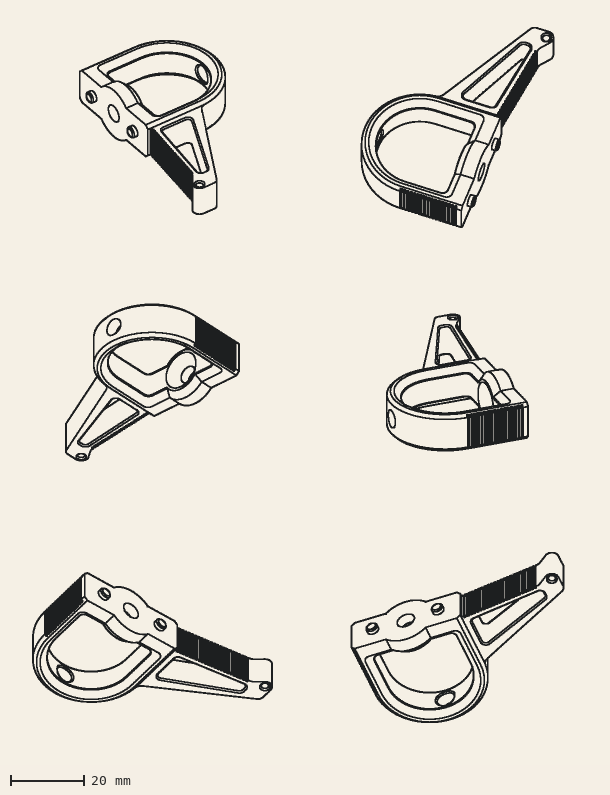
import cadquery as cq
import math

ARCH_RADIUS = 16.0
OPENING_RADIUS = 12.0
BASE_Y = -18.0
BODY_HEIGHT = 11.0
OUTER_CHAMFER = 1.0
FLARE_WIDTH = 2.0
FLARE_DEPTH = 1.8
LIP_WIDTH = 0.1
LIP_DEPTH = 0.3
OPENING_CORNER_RADIUS = 1.6

BOSS_RADIUS = 8.0
BORE_DIAMETER = 5.0
BORE_LENGTH = 3.05
BORE_RIM_CHAMFER = 0.4

PIN_DIAMETER = 3.2
PIN_LENGTH = 1.5
PIN_CHAMFER = 0.4
PIN_OFFSET = 9.6

OVERALL_LENGTH = 62.0
ARM_TIP_X = OVERALL_LENGTH - ARCH_RADIUS
ARM_HEIGHT = BODY_HEIGHT - 2 * OUTER_CHAMFER
ARM_ROOT_X = 14.9
TIP_TOP_Y = -16.2
TIP_RADIUS = 2.0
TIP_CENTER = (ARM_TIP_X - TIP_RADIUS, -20.7)
TIP_TOP_FILLET = 1.75
ROOT_FILLET = 2.5
GRIP_ROOT_Y = -17.1
GRIP_ANGLE = 7.0
GRIP_END_X = 39.9
GRIP_END_FILLET = 2.0
TIP_HOLE_DIAMETER = 2.0
ARM_CHAMFER = 0.45

WINDOW_LEFT_X = 18.05
WINDOW_RIGHT_X = 40.1
WINDOW_TOP_LEFT_Y = -5.0
WINDOW_TOP_ANGLE = 24.6
WINDOW_BOTTOM_LEFT_Y = -15.0
WINDOW_BOTTOM_ANGLE = 7.7
WINDOW_CORNER_RADIUS = 1.1

GROOVE_PITCH = -BASE_Y / 18
GROOVE_WIDTH = GROOVE_PITCH / 2
GROOVE_DEPTH = 0.55
WALL_GROOVE_COUNT = 17
ARM_GROOVE_COUNT = 23
ARM_GROOVE_START = 0.6


def arch_wire(radius, floor_y, z, corner_radius=0):
    """Closed outline: half circle at the +Y end, straight sides, flat floor with optional rounded corners."""
    r = corner_radius
    bend = r * (1 - math.sqrt(0.5))
    path = cq.Workplane("XY", origin=(0, 0, z)).moveTo(radius, 0)
    path = path.threePointArc((0, radius), (-radius, 0))
    if r == 0:
        return path.lineTo(-radius, floor_y).lineTo(radius, floor_y).close()
    path = path.lineTo(-radius, floor_y + r)
    path = path.threePointArc((-radius + bend, floor_y + bend), (-radius + r, floor_y))
    path = path.lineTo(radius - r, floor_y)
    path = path.threePointArc((radius - bend, floor_y + bend), (radius, floor_y + r))
    return path.close()


def make_shell():
    """Arch block with its outer edges chamfered, except along the flat base."""
    shell = arch_wire(ARCH_RADIUS, BASE_Y, -BODY_HEIGHT / 2).extrude(BODY_HEIGHT)
    return shell.faces("|Z").edges("not(<Y)").chamfer(OUTER_CHAMFER)


def opening_slice(low_z, low_growth, high_z, high_growth):
    """Slice of the opening between two heights, widened by the growth at each."""
    wires = [
        arch_wire(OPENING_RADIUS + growth, -OPENING_RADIUS - growth, z, OPENING_CORNER_RADIUS).val()
        for z, growth in ((low_z, low_growth), (high_z, high_growth))
    ]
    return cq.Workplane(cq.Solid.makeLoft(wires, True))


def make_opening():
    """Arch opening with a steep lip and a wide flare towards each face."""
    top = BODY_HEIGHT / 2
    flare_z = top - FLARE_DEPTH
    lip_z = flare_z - LIP_DEPTH
    flare = opening_slice(flare_z, LIP_WIDTH, top, FLARE_WIDTH)
    lip = opening_slice(lip_z, 0, flare_z, LIP_WIDTH)
    upper = flare.union(lip)
    middle = opening_slice(-lip_z, 0, lip_z, 0)
    return middle.union(upper).union(upper.mirror("XY"))


def make_boss():
    """Round boss on the base, tapering towards the opening by the same flare."""
    taper_y = -OPENING_RADIUS - FLARE_WIDTH
    profile = cq.Workplane("XY").polyline([
        (0, BASE_Y),
        (BOSS_RADIUS, BASE_Y),
        (BOSS_RADIUS, taper_y),
        (BOSS_RADIUS - FLARE_DEPTH, -OPENING_RADIUS),
        (0, -OPENING_RADIUS),
    ]).close()
    return profile.revolve(360, (0, 0), (0, 1))


def make_base_bore():
    """Bore through the base, opening into a 45 degree countersink inside the arch."""
    radius = BORE_DIAMETER / 2
    countersink_y = BASE_Y + BORE_LENGTH
    countersink_depth = -OPENING_RADIUS - countersink_y
    profile = cq.Workplane("XY").polyline([
        (0, BASE_Y),
        (radius, BASE_Y),
        (radius, countersink_y),
        (radius + countersink_depth, -OPENING_RADIUS),
        (0, -OPENING_RADIUS),
    ]).close()
    return profile.revolve(360, (0, 0), (0, 1))


def bore_arch(housing):
    """Bore the arch opposite the base and chamfer the curved rim inside it."""
    bore = cq.Workplane("XZ").circle(BORE_DIAMETER / 2).extrude(-ARCH_RADIUS)
    inner_rim = cq.selectors.NearestToPointSelector((0, OPENING_RADIUS, 0))
    return housing.cut(bore).edges(inner_rim).chamfer(BORE_RIM_CHAMFER)


def grip_y(x):
    """Y of the arm's grip line at x."""
    return GRIP_ROOT_Y - (x - ARCH_RADIUS) * math.tan(math.radians(GRIP_ANGLE))


def make_arm():
    """Tapered lever, blended into the arch and rounded at its tip."""
    slope = math.atan2(TIP_TOP_Y, ARM_TIP_X - ARCH_RADIUS)
    along = (math.cos(slope), math.sin(slope))
    normal = (-along[1], along[0])

    off_line = ARCH_RADIUS * normal[0] + ROOT_FILLET
    reach = math.sqrt((ARCH_RADIUS + ROOT_FILLET) ** 2 - off_line**2)
    center = [reach * along[i] + off_line * normal[i] for i in (0, 1)]
    to_arch = [-c / (ARCH_RADIUS + ROOT_FILLET) for c in center]
    arch_point = [center[i] + ROOT_FILLET * to_arch[i] for i in (0, 1)]
    line_point = [center[i] - ROOT_FILLET * normal[i] for i in (0, 1)]
    middle = [to_arch[i] - normal[i] for i in (0, 1)]
    fillet_point = [center[i] + ROOT_FILLET * middle[i] / math.hypot(*middle) for i in (0, 1)]

    grip_end = (GRIP_END_X, grip_y(GRIP_END_X))
    to_grip = (grip_end[0] - TIP_CENTER[0], grip_end[1] - TIP_CENTER[1])
    tangent_angle = math.atan2(to_grip[1], to_grip[0]) + math.acos(TIP_RADIUS / math.hypot(*to_grip))
    tangent_angle %= 2 * math.pi
    middle_angle = tangent_angle / 2 + math.pi

    def tip_point(angle):
        return (TIP_CENTER[0] + TIP_RADIUS * math.cos(angle), TIP_CENTER[1] + TIP_RADIUS * math.sin(angle))

    arm = (
        cq.Workplane("XY", origin=(0, 0, -ARM_HEIGHT / 2))
        .moveTo(ARM_ROOT_X, grip_y(ARM_ROOT_X))
        .lineTo(ARM_ROOT_X, arch_point[1])
        .lineTo(*arch_point)
        .threePointArc(fillet_point, line_point)
        .lineTo(ARM_TIP_X, TIP_TOP_Y)
        .lineTo(*tip_point(0))
        .threePointArc(tip_point(middle_angle), tip_point(tangent_angle))
        .lineTo(*grip_end)
        .close()
        .extrude(ARM_HEIGHT)
    )
    arm = arm.edges(cq.selectors.NearestToPointSelector((ARM_TIP_X, TIP_TOP_Y, 0))).fillet(TIP_TOP_FILLET)
    return arm.edges(cq.selectors.NearestToPointSelector((*grip_end, 0))).fillet(GRIP_END_FILLET)


def window_corners():
    """Corners of the arm's window, clockwise from the top left."""
    length = WINDOW_RIGHT_X - WINDOW_LEFT_X
    top_drop = length * math.tan(math.radians(WINDOW_TOP_ANGLE))
    bottom_drop = length * math.tan(math.radians(WINDOW_BOTTOM_ANGLE))
    return [
        (WINDOW_LEFT_X, WINDOW_TOP_LEFT_Y),
        (WINDOW_RIGHT_X, WINDOW_TOP_LEFT_Y - top_drop),
        (WINDOW_RIGHT_X, WINDOW_BOTTOM_LEFT_Y - bottom_drop),
        (WINDOW_LEFT_X, WINDOW_BOTTOM_LEFT_Y),
    ]


def cut_arm_openings(arm):
    """Cut the window and the tip hole and chamfer their rims on both faces."""
    floor = cq.Workplane("XY", origin=(0, 0, -ARM_HEIGHT / 2))
    window = floor.polyline(window_corners()).close().extrude(ARM_HEIGHT)
    window = window.edges("|Z").fillet(WINDOW_CORNER_RADIUS)
    tip_hole = floor.moveTo(*TIP_CENTER).circle(TIP_HOLE_DIAMETER / 2).extrude(ARM_HEIGHT)
    arm = arm.cut(window).cut(tip_hole)
    rims = [rim for face in arm.faces("|Z").vals() for rim in face.innerWires()]
    rim_edges = [edge for rim in rims for edge in rim.Edges()]
    return arm.newObject(rim_edges).chamfer(ARM_CHAMFER)


def make_wall_grooves():
    """Grip grooves across the flat wall opposite the arm."""
    centers = [(-ARCH_RADIUS, -i * GROOVE_PITCH - GROOVE_WIDTH / 2) for i in range(WALL_GROOVE_COUNT)]
    return cq.Workplane("XY").pushPoints(centers).box(2 * GROOVE_DEPTH, GROOVE_WIDTH, BODY_HEIGHT)


def make_arm_grooves():
    """Grip grooves across the arm's underside, square to the grip line."""
    starts = [ARM_GROOVE_START + i * GROOVE_PITCH for i in range(ARM_GROOVE_COUNT)]
    centers = [(start + GROOVE_WIDTH / 2, 0) for start in starts]
    grooves = cq.Workplane("XY").pushPoints(centers).box(GROOVE_WIDTH, 2 * GROOVE_DEPTH, ARM_HEIGHT)
    return grooves.rotate((0, 0, 0), (0, 0, 1), -GRIP_ANGLE).translate((ARCH_RADIUS, GRIP_ROOT_Y, 0))


def make_housing():
    """Housing with its boss, bore, lever arm and grip grooves."""
    arm = cut_arm_openings(make_arm())
    housing = bore_arch(make_shell().cut(make_opening()))
    housing = housing.union(make_boss()).union(arm)
    return housing.cut(make_base_bore()).cut(make_wall_grooves()).cut(make_arm_grooves())


def make_pin(x):
    """Short pin standing on the base, chamfered at its free end."""
    pin = cq.Workplane("XZ", origin=(x, BASE_Y, 0)).circle(PIN_DIAMETER / 2).extrude(PIN_LENGTH)
    return pin.faces("<Y").chamfer(PIN_CHAMFER)


housing = make_housing()
pins = [make_pin(x) for x in (-PIN_OFFSET, PIN_OFFSET)]
result = cq.Compound.makeCompound([housing.val(), *[pin.val() for pin in pins]])